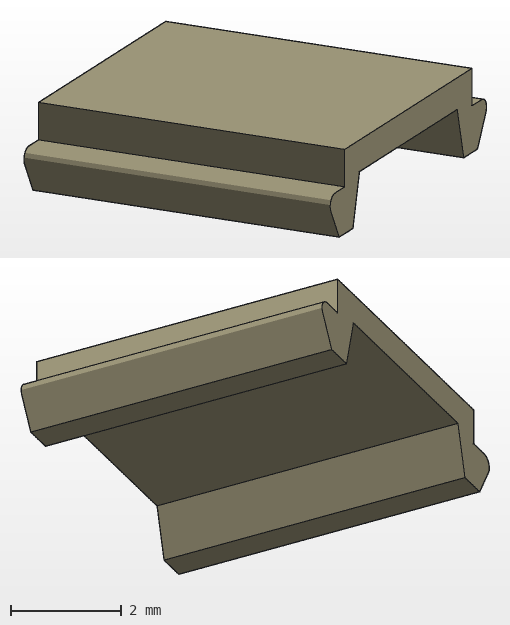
import cadquery as cq
import math

length = 6.15
width = 6.4
height = 1.6

plate_half_width = 2.605
plate_thickness = 0.6

ledge_height = 0.89
nose_radius = 0.2
hook_angle = math.radians(30)
leg_angle = math.radians(15)
channel_half_width = 2.0

ceiling_height = height - plate_thickness
foot_inner = channel_half_width + ceiling_height * math.tan(leg_angle)

nose_center_y = width / 2 - nose_radius
nose_center_z = ledge_height - nose_radius


def nose_point(angle):
    """Point on the nose arc, with the angle measured up from horizontal."""
    return (
        nose_center_y + nose_radius * math.cos(angle),
        nose_center_z + nose_radius * math.sin(angle),
    )


nose_start = nose_point(math.pi / 2)
nose_middle = nose_point((math.pi / 2 - hook_angle) / 2)
nose_end = nose_point(-hook_angle)
foot_outer = nose_end[0] - nose_end[1] * math.tan(hook_angle)

half_body = (
    cq.Workplane("YZ")
    .moveTo(0, height)
    .lineTo(plate_half_width, height)
    .lineTo(plate_half_width, ledge_height)
    .lineTo(*nose_start)
    .threePointArc(nose_middle, nose_end)
    .lineTo(foot_outer, 0)
    .lineTo(foot_inner, 0)
    .lineTo(channel_half_width, ceiling_height)
    .lineTo(0, ceiling_height)
    .close()
    .extrude(length / 2, both=True)
)

result = half_body.union(half_body.mirror("XZ")).clean()